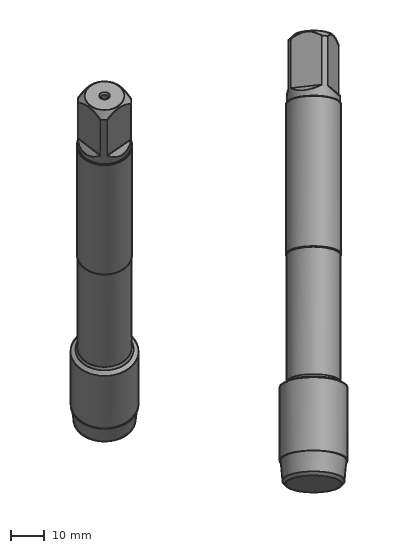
import cadquery as cq
import math

TOTAL_LENGTH = 140.0

THREAD_DIAMETER = 20.3
THREAD_TOP_Z = 30.1
LEAD_TOP_Z = 7.3
LEAD_TOP_DIAMETER = 19.7
LEAD_END_DIAMETER = 18.6
TIP_CHAMFER_HEIGHT = 1.0
TIP_DIAMETER = 16.8

NECK_DIAMETER = 16.2
NECK_BASE_Z = 31.8
COLLAR_DIAMETER = 17.4
COLLAR_Z = 31.0
SHANK_DIAMETER = 16.5
SHANK_BASE_Z = 71.8
SHANK_TOP_Z = 119.0
SHANK_CHAMFER = 0.3

DRIVE_DIAMETER = SHANK_DIAMETER - 2 * SHANK_CHAMFER
SQUARE_SIDE = 12.6
SQUARE_BASE_Z = 122.5
DRIVE_TOP_DIAMETER = 11.8
DRIVE_CHAMFER_HEIGHT = 2.1

CENTRE_DIAMETER = 2.0
CENTRE_MOUTH_DIAMETER = 3.1
CENTRE_DEPTH = 2.8
CENTRE_TIP_ANGLE = 120


def revolve_profile(stations):
    """Solid of revolution about Z from (diameter, z) stations listed upward."""
    bottom_diameter, bottom_z = stations[0]
    axis_start = [(0, bottom_z)] if bottom_diameter > 0 else []
    top_z = stations[-1][1]
    outline = [(diameter / 2, z) for diameter, z in stations]
    return (
        cq.Workplane("XZ")
        .polyline(axis_start + outline + [(0, top_z)])
        .close()
        .revolve(360, (0, 0, 0), (0, 1, 0))
    )


def make_thread_end():
    """Plain thread envelope with a tapered lead and a chamfered tip."""
    return revolve_profile([
        (TIP_DIAMETER, 0),
        (LEAD_END_DIAMETER, TIP_CHAMFER_HEIGHT),
        (LEAD_TOP_DIAMETER, LEAD_TOP_Z),
        (THREAD_DIAMETER, LEAD_TOP_Z),
        (THREAD_DIAMETER, THREAD_TOP_Z),
    ])


def make_drive_cutter():
    """Ring around the square, its lower face sloping down outward at 45 degrees."""
    clearance_side = SQUARE_SIDE + 2 * DRIVE_DIAMETER
    clearance_height = TOTAL_LENGTH - SQUARE_BASE_Z
    slope_height = (clearance_side - SQUARE_SIDE) / 2
    square = (
        cq.Workplane("XY", origin=(0, 0, SQUARE_BASE_Z))
        .rect(SQUARE_SIDE, SQUARE_SIDE)
        .extrude(clearance_height)
    )
    slope = (
        cq.Workplane("XY", origin=(0, 0, SQUARE_BASE_Z - slope_height))
        .rect(clearance_side, clearance_side)
        .workplane(offset=slope_height)
        .rect(SQUARE_SIDE, SQUARE_SIDE)
        .loft(ruled=True)
    )
    return (
        cq.Workplane("XY", origin=(0, 0, SQUARE_BASE_Z - slope_height))
        .rect(clearance_side, clearance_side)
        .extrude(slope_height + clearance_height)
        .cut(slope)
        .cut(square)
    )


def make_centre_hole():
    """Blind hole with a conical floor and a 45 degree countersunk mouth."""
    mouth_depth = (CENTRE_MOUTH_DIAMETER - CENTRE_DIAMETER) / 2
    tip_height = CENTRE_DIAMETER / 2 / math.tan(math.radians(CENTRE_TIP_ANGLE / 2))
    return revolve_profile([
        (0, TOTAL_LENGTH - CENTRE_DEPTH - tip_height),
        (CENTRE_DIAMETER, TOTAL_LENGTH - CENTRE_DEPTH),
        (CENTRE_DIAMETER, TOTAL_LENGTH - mouth_depth),
        (CENTRE_MOUTH_DIAMETER, TOTAL_LENGTH),
    ])


def make_shank():
    """Sloped shoulder, neck, shank and driving square in one piece."""
    body = revolve_profile([
        (THREAD_DIAMETER, THREAD_TOP_Z),
        (COLLAR_DIAMETER, COLLAR_Z),
        (NECK_DIAMETER, NECK_BASE_Z),
        (NECK_DIAMETER, SHANK_BASE_Z - SHANK_CHAMFER),
        (SHANK_DIAMETER, SHANK_BASE_Z),
        (SHANK_DIAMETER, SHANK_TOP_Z - SHANK_CHAMFER),
        (DRIVE_DIAMETER, SHANK_TOP_Z),
        (DRIVE_DIAMETER, TOTAL_LENGTH - DRIVE_CHAMFER_HEIGHT),
        (DRIVE_TOP_DIAMETER, TOTAL_LENGTH),
    ])
    return body.cut(make_drive_cutter()).cut(make_centre_hole())


thread_end = make_thread_end()
shank = make_shank()

result = cq.Compound.makeCompound([thread_end.val(), shank.val()])